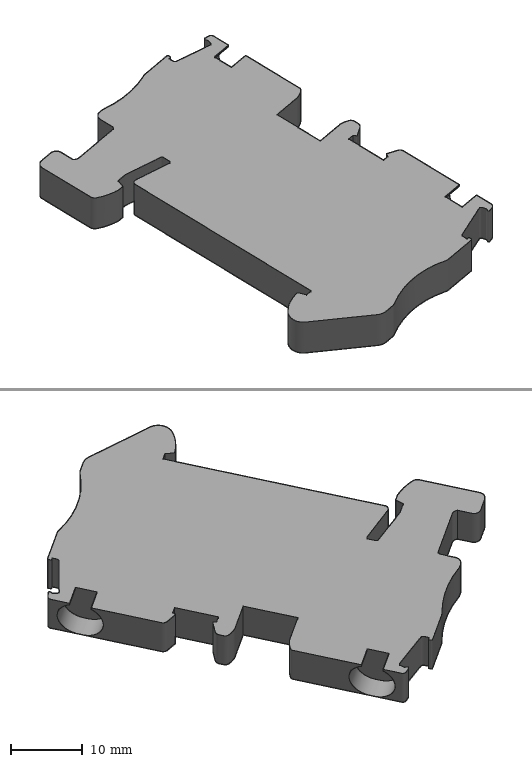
import cadquery as cq

length = 55.9
height = 35.3
thickness = 6.15
side = length / 2

ear_tip_inset = 1.75
ear_top_inset = 2.0
ear_lip_inset = 2.4
ear_lip_drop = 1.2
ear_barb_drop = 1.45
neck_top_inset = 3.3
neck_top_drop = 1.45
neck_foot_inset = 1.6
ledge_y = 27.85
ledge_inset = 0.6
ledge_bump_y = 28.25

left_wave = (23.2, 14.25, 0.65)
right_wave = (22.85, 11.35, 1.3)

notch_left = -8.7
notch_right = -0.8
notch_floor = 29.25
notch_flare_y = 33.6
flare_width = 0.7
flare_bulge = 0.2
flare_bulge_y = 34.4

snap_left = 2.0
snap_right = 8.4
snap_floor = 32.1
snap_ceiling = 33.05
barb_y = 33.25
barb_size = 0.5
post_slope_width = 1.0

rail_top = 12.5
web_left = -24.3
foot_top = 4.0
foot_cove_width = 0.5
foot_cove_height = 0.95
foot_cove_middle = (-24.45, 4.4)
web_right = -17.2
foot_flat_end = -17.65
foot_flank_middle = (-16.55, 1.85)
foot_tip_x = -16.0
foot_tip_y = 4.5
foot_tip_flank_y = 3.6
step_y = 4.9

slot_bend_y = 6.55
flex_slot_left = -15.6
flex_slot_right = -13.9
flex_slot_mouth = -15.65
base_y = 5.9

claw_root_x = 17.4
claw_tip = (16.1, 4.4)
claw_flank = (16.2, 3.75)
claw_flank_middle = (16.7, 1.95)
claw_round_start = (17.55, 0.65)
claw_bottom = (19.1, 0.0)
claw_round_end = (20.7, 0.65)
slant_top_y = 8.95

socket_x = 21.2
socket_depth = 3.1
socket_radius = 3.0
socket_centre_gap = 0.65
window_width = 3.15


def ear_corners(sign):
    """Corners of one ear and its ledge, from the end face up to the top edge."""
    corners = [
        (side, ledge_bump_y),
        (side - ledge_inset, ledge_bump_y),
        (side - ledge_inset, ledge_y),
        (side - neck_foot_inset, ledge_y),
        (side - neck_top_inset, height - neck_top_drop),
        (side - ear_lip_inset, height - ear_lip_drop),
        (side - ear_tip_inset, height - ear_barb_drop),
        (side - ear_top_inset, height),
    ]
    return [(sign * x, y) for x, y in corners]


def lines_to(path, points):
    for point in points:
        path = path.lineTo(*point)
    return path


def wave_middle(sign, wave):
    upper, lower, depth = wave
    return (sign * (side - depth), (upper + lower) / 2)


left_ear = ear_corners(-1)
right_ear = ear_corners(1)
flare_top_left = (notch_left - flare_width, height)
flare_top_right = (notch_right + flare_width, height)
post_right = (snap_left + barb_size - post_slope_width, height)
snap_shoulder = (snap_right - barb_size + post_slope_width, height)
left_barb = (snap_left + barb_size, barb_y)
right_barb = (snap_right - barb_size, barb_y)


def make_outline():
    path = cq.Workplane("XY").moveTo(-side, rail_top).lineTo(-side, left_wave[1])
    path = path.threePointArc(wave_middle(-1, left_wave), (-side, left_wave[0]))
    path = lines_to(path, left_ear + [flare_top_left])
    path = path.threePointArc((notch_left - flare_bulge, flare_bulge_y), (notch_left, notch_flare_y))
    path = lines_to(path, [
        (notch_left, notch_floor),
        (notch_right, notch_floor),
        (notch_right, notch_flare_y),
    ])
    path = path.threePointArc((notch_right + flare_bulge, flare_bulge_y), flare_top_right)
    path = lines_to(path, [
        post_right,
        left_barb,
        (snap_left, snap_ceiling),
        (snap_left, snap_floor),
        (snap_right, snap_floor),
        (snap_right, snap_ceiling),
        right_barb,
        snap_shoulder,
    ])
    path = lines_to(path, right_ear[::-1] + [(side, right_wave[0])])
    path = path.threePointArc(wave_middle(1, right_wave), (side, right_wave[1]))
    path = lines_to(path, [(side, slant_top_y), claw_round_end])
    path = path.threePointArc(claw_bottom, claw_round_start)
    path = path.threePointArc(claw_flank_middle, claw_flank)
    path = lines_to(path, [
        claw_tip,
        (claw_root_x, step_y),
        (claw_root_x, base_y),
        (flex_slot_mouth, base_y),
        (flex_slot_right, rail_top),
        (flex_slot_left, rail_top),
        (web_right, slot_bend_y),
        (web_right, step_y),
        (foot_tip_x, foot_tip_y),
        (foot_tip_x, foot_tip_flank_y),
    ])
    path = path.threePointArc(foot_flank_middle, (foot_flat_end, 0))
    path = lines_to(path, [
        (-side, 0),
        (-side, foot_top),
        (web_left - foot_cove_width, foot_top),
    ])
    path = path.threePointArc(foot_cove_middle, (web_left, foot_top + foot_cove_height))
    return path.lineTo(web_left, rail_top).close()


def make_socket(x):
    """Horizontal socket with round ends plus the window above it."""
    mid_z = thickness / 2
    socket = (
        cq.Workplane("XZ", origin=(x, height, mid_z))
        .slot2D(socket_centre_gap + 2 * socket_radius, 2 * socket_radius)
        .extrude(socket_depth)
    )
    window = cq.Workplane("XY").box(
        window_width, socket_depth, mid_z, centered=(True, False, False)
    )
    return socket.union(window.translate((x, height - socket_depth, mid_z)))


ears = (left_ear, right_ear)
corner_rounds = [
    (0.1, [left_barb, right_barb]),
    (0.15, [ear[i] for ear in ears for i in (0, 1, 5, 6)]),
    (0.3, [ear[4] for ear in ears]),
    (0.3, [(flex_slot_left, rail_top), (flex_slot_right, rail_top), claw_tip]),
    (0.45, [ear[3] for ear in ears]),
    (0.45, [flare_top_left, (web_left, rail_top)]),
    (0.55, [ear[7] for ear in ears]),
    (0.6, [(flex_slot_mouth, base_y)]),
    (0.8, [flare_top_right, post_right, snap_shoulder]),
    (1.0, [(-side, rail_top), (-side, foot_top), (-side, 0), (foot_flat_end, 0)]),
    (1.7, [(-side, left_wave[0]), (-side, left_wave[1])]),
    (1.1, [(side, right_wave[0]), (side, right_wave[1])]),
    (1.95, [(side, slant_top_y)]),
]

body = make_outline().extrude(thickness)
for radius, corners in corner_rounds:
    for x, y in corners:
        edge = cq.selectors.NearestToPointSelector((x, y, thickness / 2))
        body = body.edges("|Z").edges(edge).fillet(radius)

for socket_centre in (-socket_x, socket_x):
    body = body.cut(make_socket(socket_centre))

result = body